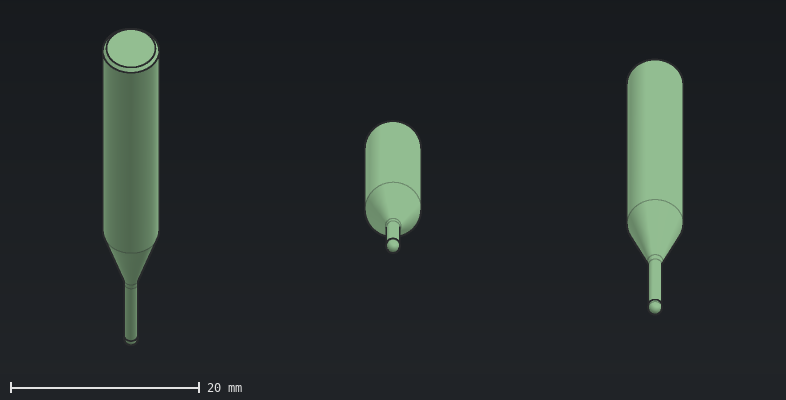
import cadquery as cq
import math

overall_length = 50.0
shank_radius = 3.0
shank_chamfer = 0.4
shank_bottom_z = 19.0
ball_radius = 0.75
tip_length = 1.2
neck_diameter = 1.45
neck_radius = neck_diameter / 2
cone_half_angle = math.radians(15)
neck_fillet_radius = 3.0

fillet_end_radius = neck_radius + neck_fillet_radius * (1 - math.cos(cone_half_angle))
fillet_end_z = shank_bottom_z - (shank_radius - fillet_end_radius) / math.tan(cone_half_angle)
fillet_start_z = fillet_end_z - neck_fillet_radius * math.sin(cone_half_angle)


def revolve_about_z(profile):
    """Revolve a closed radius-height profile a full turn about Z."""
    return profile.revolve(360, (0, 0, 0), (0, 1, 0))


def make_cutting_tip():
    """Hemispherical cutting end with a short back taper to the neck."""
    ball_arc_middle = ball_radius * math.sin(math.radians(45))
    profile = (
        cq.Workplane("XZ")
        .moveTo(0, 0)
        .threePointArc((ball_arc_middle, ball_radius - ball_arc_middle), (ball_radius, ball_radius))
        .lineTo(neck_radius, tip_length)
        .lineTo(0, tip_length)
        .close()
    )
    return revolve_about_z(profile)


def make_shank():
    """Straight neck, filleted cone and chamfered cylindrical shank."""
    half_angle = cone_half_angle / 2
    fillet_middle = (
        neck_radius + neck_fillet_radius * (1 - math.cos(half_angle)),
        fillet_start_z + neck_fillet_radius * math.sin(half_angle),
    )
    profile = (
        cq.Workplane("XZ")
        .moveTo(0, tip_length)
        .lineTo(neck_radius, tip_length)
        .lineTo(neck_radius, fillet_start_z)
        .threePointArc(fillet_middle, (fillet_end_radius, fillet_end_z))
        .lineTo(shank_radius, shank_bottom_z)
        .lineTo(shank_radius, overall_length - shank_chamfer)
        .lineTo(shank_radius - shank_chamfer, overall_length)
        .lineTo(0, overall_length)
        .close()
    )
    return revolve_about_z(profile)


cutting_tip = make_cutting_tip()
shank = make_shank()

result = cq.Compound.makeCompound([cutting_tip.val(), shank.val()])